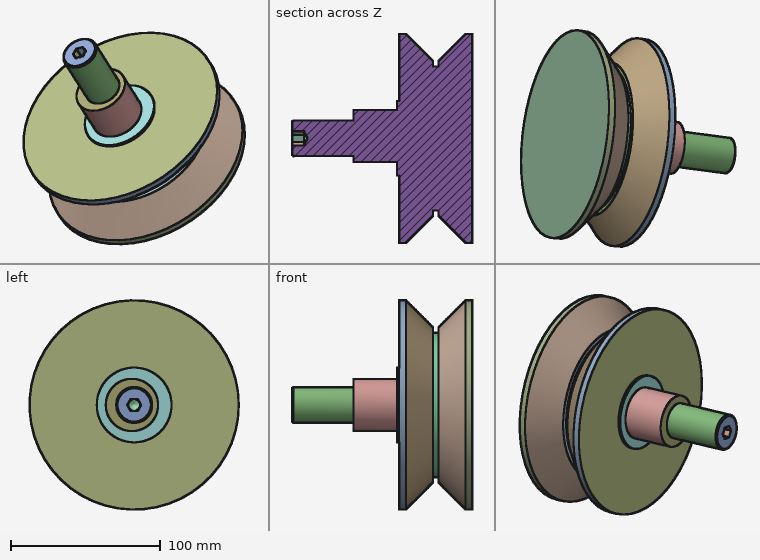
import cadquery as cq
import math


wheel_diameter = 140.0
wheel_width = 49.0
rim_width = 4.5
relief_width = 3.5
relief_diameter = 96.7
groove_half_angle = 45.0

collar_diameter = 50.0
collar_length = 1.5
eccentric_diameter = 35.0
eccentric_length = 29.0
eccentric_offset = 1.5
shaft_diameter = 24.0
shaft_length = 41.0
shaft_chamfer = 0.8

socket_across_flats = 8.0
socket_depth = 8.0
drill_point_angle = 120.0

wheel_face = -wheel_width / 2
collar_face = wheel_face - collar_length
eccentric_face = collar_face - eccentric_length
shaft_end = eccentric_face - shaft_length


def cylinder(start_x, length, diameter, offset_y=0.0):
    """Cylinder along +X from start_x, with its axis shifted by offset_y."""
    return (
        cq.Workplane("YZ", origin=(start_x, offset_y, 0))
        .circle(diameter / 2)
        .extrude(length)
    )


def make_wheel():
    """Solid wheel with a V groove and a square relief slot at its root."""
    rim_radius = wheel_diameter / 2
    relief_radius = relief_diameter / 2
    half_width = wheel_width / 2
    half_relief = relief_width / 2
    flank_start = half_width - rim_width
    flank_depth = (flank_start - half_relief) * math.tan(math.radians(groove_half_angle))
    flank_root_radius = rim_radius - flank_depth
    return (
        cq.Workplane("XY")
        .moveTo(-half_width, 0)
        .lineTo(-half_width, -rim_radius)
        .lineTo(-flank_start, -rim_radius)
        .lineTo(-half_relief, -flank_root_radius)
        .lineTo(-half_relief, -relief_radius)
        .lineTo(half_relief, -relief_radius)
        .lineTo(half_relief, -flank_root_radius)
        .lineTo(flank_start, -rim_radius)
        .lineTo(half_width, -rim_radius)
        .lineTo(half_width, 0)
        .close()
        .revolve(360, (0, 0, 0), (1, 0, 0))
    )


def make_axle():
    """Collar, eccentric boss and chamfered shaft, stacked toward -X."""
    collar = cylinder(collar_face, collar_length, collar_diameter)
    eccentric = cylinder(eccentric_face, eccentric_length, eccentric_diameter, eccentric_offset)
    shaft = cylinder(shaft_end, shaft_length, shaft_diameter).faces("<X").chamfer(shaft_chamfer)
    return collar.union(eccentric).union(shaft)


def make_socket():
    """Hexagon pocket with two flats facing +Z and -Z, ending in a conical drill point."""
    hexagon_sides = 6
    across_corners = socket_across_flats / math.cos(math.pi / hexagon_sides)
    hexagon = (
        cq.Workplane("YZ", origin=(shaft_end, 0, 0))
        .polygon(hexagon_sides, across_corners)
        .extrude(socket_depth)
    )
    point_radius = socket_across_flats / 2
    point_length = point_radius / math.tan(math.radians(drill_point_angle / 2))
    point_base = shaft_end + socket_depth
    drill_point = (
        cq.Workplane("XY")
        .moveTo(point_base, 0)
        .lineTo(point_base, point_radius)
        .lineTo(point_base + point_length, 0)
        .close()
        .revolve(360, (point_base, 0, 0), (point_base + 1, 0, 0))
    )
    return hexagon.union(drill_point)


result = make_wheel().union(make_axle()).cut(make_socket())